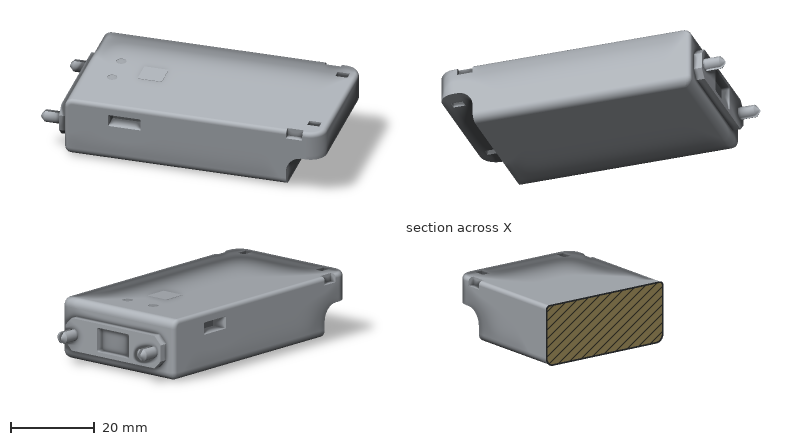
import cadquery as cq
body_length = 64.0
body_width = 35.0
body_height = 15.0
rear_corner_radius = 4.0
edge_radius = 1.0
front_top_radius = 2.0
bottom_radius = 2.0

overhang_length = 9.0
overhang_thickness = 7.0
overhang_radius = 4.0

plate_thickness = 2.0
plate_width = 30.0
plate_height = 8.0
plate_chamfer = 2.0
plate_center_z = 7.0

socket_width = 10.0
socket_height = 6.0
socket_depth = 2.0
socket_corner_radius = 0.5

pin_diameter = 3.0
pin_length = 5.0
pin_spacing = 25.0
pin_tip_chamfer = 1.0
pin_slot_width = 0.8

window_start_x = 10.9
window_length = 8.0
window_height = 3.0
window_top_gap = 2.5
window_depth = 4.0
window_corner_radius = 0.3

notch_length = 4.0
notch_height = 2.0
notch_depth = 1.5

strap_slot_length = 3.0
strap_slot_width = 2.0
strap_slot_rear_gap = 2.0
strap_slot_spacing = 24.4

indicator_diameter = 2.5
indicator_depth = 0.1
indicator_x = 8.0
indicator_spacing = 8.0
button_size = 6.0
button_height = 0.1
button_start_x = 14.0

SIDES = (-1, 1)


def box_from(x, y, z, length, width, height):
    """Box with its lowest corner at (x, y, z)."""
    return cq.Workplane("XY").box(length, width, height, centered=False).translate((x, y, z))


def make_body():
    """Rounded box; the front corner rounding runs on along the upper side and rear edges."""
    body = box_from(0, -body_width / 2, 0, body_length, body_width, body_height)
    body = body.edges("|Z and >X").fillet(rear_corner_radius)
    body = body.edges("|Y and <X and >Z").fillet(front_top_radius)
    body = body.cut(make_rear_cutaway())
    body = body.faces("<Z").edges("not >X").fillet(bottom_radius)
    return body.edges("|Z and <X").fillet(edge_radius)


def make_rear_cutaway():
    """Volume below the overhang, with a rounded inner corner."""
    cutaway = box_from(
        body_length - overhang_length, -body_width, -overhang_radius,
        2 * overhang_length, 2 * body_width, body_height - overhang_thickness + overhang_radius,
    )
    return cutaway.edges("|Y and <X and >Z").fillet(overhang_radius)


def make_plate():
    plate = box_from(
        -plate_thickness, -plate_width / 2, plate_center_z - plate_height / 2,
        plate_thickness, plate_width, plate_height,
    )
    return plate.edges("|X").chamfer(plate_chamfer)


def make_socket():
    socket = box_from(
        -plate_thickness, -socket_width / 2, plate_center_z - socket_height / 2,
        socket_depth, socket_width, socket_height,
    )
    return socket.edges("|X").fillet(socket_corner_radius)


def make_pin(center_y):
    """Pin with a tapered tip, split by a vertical slot along its whole length."""
    pin = cq.Workplane("YZ").circle(pin_diameter / 2).extrude(-pin_length)
    pin = pin.faces("<X").chamfer(pin_tip_chamfer)
    slot = box_from(
        -pin_length, -pin_slot_width / 2, -pin_diameter / 2,
        pin_length, pin_slot_width, pin_diameter,
    )
    return pin.cut(slot).translate((-plate_thickness, center_y, plate_center_z))


def make_window():
    window = box_from(
        window_start_x, -body_width / 2, body_height - window_top_gap - window_height,
        window_length, window_depth, window_height,
    )
    return window.edges("|Y and >Z").fillet(window_corner_radius)


def make_notch(side):
    center_y = side * (body_width - notch_depth) / 2
    return box_from(
        body_length - overhang_length, center_y - notch_depth / 2, body_height - notch_height,
        notch_length, notch_depth, notch_height,
    )


def make_strap_slot(side):
    center_y = side * strap_slot_spacing / 2
    return box_from(
        body_length - strap_slot_rear_gap - strap_slot_length, center_y - strap_slot_width / 2, 0,
        strap_slot_length, strap_slot_width, body_height,
    )


def make_indicator(side):
    recess = cq.Workplane("XY").circle(indicator_diameter / 2).extrude(-indicator_depth)
    return recess.translate((indicator_x, side * indicator_spacing / 2, body_height))


def make_button():
    return box_from(
        button_start_x, -button_size / 2, body_height,
        button_size, button_size, button_height,
    )


result = make_body().union(make_plate()).union(make_button())
result = result.cut(make_socket()).cut(make_window())
for side in SIDES:
    result = result.union(make_pin(side * pin_spacing / 2))
    result = result.cut(make_notch(side))
    result = result.cut(make_strap_slot(side))
    result = result.cut(make_indicator(side))